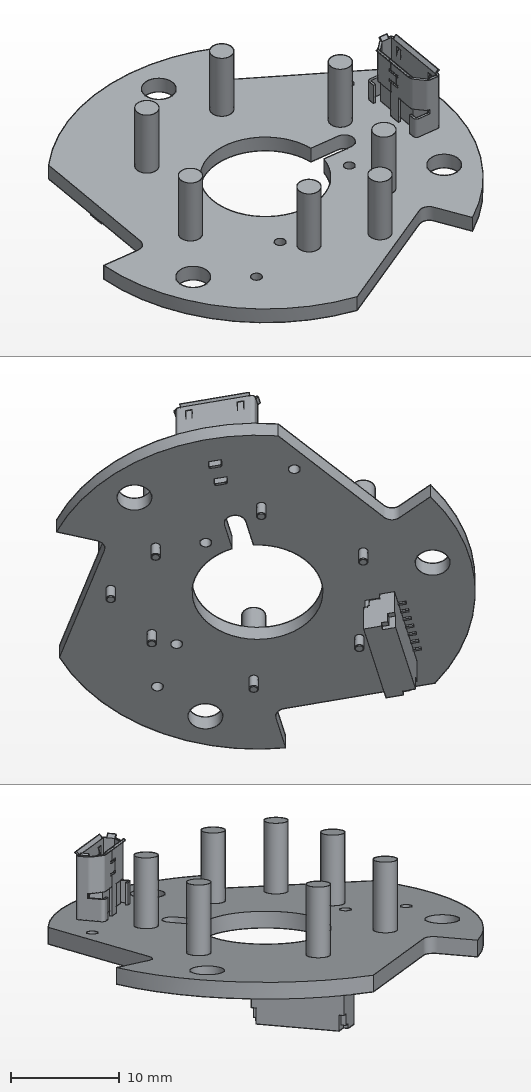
import cadquery as cq
import math


overall_length = 39.9
board_thickness = 1.6
notch_side = 2.0
notch_depth = 15.0
notch_fillet = 1.0
board_radius = (overall_length**2 + notch_side**2) / (2 * overall_length)
notch_count = 3

bore_diameter = 12.0
key_slot_width = 2.0
key_slot_reach = 10.0

screw_hole_diameter = 3.2
screw_hole_radius = 16.5
screw_hole_angles = [60, 180, 300]

wire_hole_diameter = 1.08
wire_hole_points = [(-6.85, 14.5), (3.2, 7.22), (8.75, -4.75), (11.7, -9.6)]

pin_diameter = 2.25
pin_height = 6.7
tail_diameter = 0.88
tail_below_board = 1.45
tail_chamfer = 0.08
ring_pin_radius = 11.0
ring_pin_angles = [45, 105, 165, 225, 285, 345]
outer_pin_radius = 13.5
outer_pin_angle = 15

header_width = 2.9
header_length = 9.0
header_height = 4.25
header_x = -10.8
header_y = -7.3
end_recess = 0.48
key_recess_outer = (0.65, 2.75)
key_recess_inner = (1.25, 3.83)
seat_recess_wide = (1.5, 0.6)
seat_recess_narrow = (0.5, 1.2)
seat_ledge = 0.2

lead_count = 7
lead_pitch = 1.0
lead_width = 0.2
lead_thickness = 0.2
lead_reach = 0.75

socket_half_width = 3.75
socket_back = 17.2
socket_front = 14.7
shell_base = 0.25
base_bottom = 0.45
socket_top = 6.25
sheet = 0.25
shell_fillet = 0.35
bevel_fillet = 0.45
bevel_width = 1.1
bevel_depth = 1.08
base_top = 2.8

wing_front = 14.35
wing_tip = 2.8
wing_back = 16.0
wing_top = 2.35

lip_reach = 0.25
lip_height = 0.35
lip_tip = 0.15
back_lip_length = 6.55
front_lip_length = 5.03
side_lip_length = 0.8
side_lip_y = 16.28

leg_width = 1.2
leg_below_board = 0.68
leg_chamfer = 0.1

seam_gap = 0.05
seam_lock_x = 0.28
seam_lock_bottom = 4.0
seam_lock_top = 5.15
lock_slit_height = 0.2
lock_slit_left = -0.88
lock_slit_right = 0.45

spring_x = 2.45
spring_width = 0.6
spring_bottom = 4.6
spring_bend = 5.43
spring_top = 5.7
spring_reach = 0.2

contact_count = 5
contact_pitch = 0.65
contact_width = 0.25
contact_front = 16.3
contact_back = 17.3


def polar(radius, angle):
    """Point on the board at a radius and an angle in degrees."""
    return (radius * math.cos(math.radians(angle)), radius * math.sin(math.radians(angle)))


def block(x_range, y_range, z_range):
    """Box between two limits along each axis."""
    size = [high - low for low, high in (x_range, y_range, z_range)]
    corner = (x_range[0], y_range[0], z_range[0])
    return cq.Workplane("XY").box(*size, centered=False).translate(corner)


def mirrored_pair(body, plane):
    """A body together with its mirror image."""
    return body.union(body.mirror(plane))


pin_points = [polar(ring_pin_radius, angle) for angle in ring_pin_angles]
pin_points.append(polar(outer_pin_radius, outer_pin_angle))


def make_board():
    board = cq.Workplane("XY").circle(board_radius).extrude(-board_thickness)

    notch = block(
        (-board_radius, notch_side), (-2 * board_radius, -notch_depth), (-board_thickness, 0)
    ).edges("|Z and >X and >Y").fillet(notch_fillet)
    for index in range(notch_count):
        board = board.cut(notch.rotate((0, 0, 0), (0, 0, 1), index * 360 / notch_count))

    bore = cq.Workplane("XY").circle(bore_diameter / 2).extrude(-board_thickness)
    slot_end = key_slot_reach - key_slot_width / 2
    slot = block((-key_slot_width / 2, key_slot_width / 2), (0, slot_end), (-board_thickness, 0))
    slot_round = (
        cq.Workplane("XY").center(0, slot_end).circle(key_slot_width / 2).extrude(-board_thickness)
    )
    board = board.cut(bore).cut(slot).cut(slot_round)

    screw_points = [polar(screw_hole_radius, angle) for angle in screw_hole_angles]
    for diameter, points in (
        (screw_hole_diameter, screw_points),
        (wire_hole_diameter, wire_hole_points),
        (tail_diameter, pin_points),
    ):
        holes = cq.Workplane("XY").pushPoints(points).circle(diameter / 2).extrude(-board_thickness)
        board = board.cut(holes)
    return board


def make_pin(point):
    post = cq.Workplane("XY").circle(pin_diameter / 2).extrude(pin_height)
    tail = cq.Workplane("XY").circle(tail_diameter / 2).extrude(-board_thickness - tail_below_board)
    tail = tail.faces("<Z").chamfer(tail_chamfer)
    return post.union(tail).translate((*point, 0))


def make_header():
    left = header_x - header_width / 2
    right = header_x + header_width / 2
    near = header_y - header_length / 2
    seat = -board_thickness
    bottom = seat - header_height
    header = block((left, right), (near, near + header_length), (bottom, seat))

    key_steps = [
        (left, bottom),
        (left, seat - key_recess_outer[1]),
        (left + key_recess_outer[0], seat - key_recess_outer[1]),
        (left + key_recess_outer[0], seat - key_recess_inner[1]),
        (left + key_recess_inner[0], seat - key_recess_inner[1]),
        (left + key_recess_inner[0], bottom),
    ]
    seat_wide_left = right - seat_recess_wide[0]
    seat_wide_floor = seat - seat_recess_wide[1]
    seat_narrow_left = right - seat_recess_narrow[0]
    seat_narrow_floor = seat - seat_recess_narrow[1]
    seat_steps = [
        (right, seat),
        (seat_wide_left, seat),
        (seat_wide_left, seat_wide_floor),
        (seat_narrow_left, seat_wide_floor),
        (seat_narrow_left, seat_narrow_floor),
        (right, seat_narrow_floor),
    ]
    ledge_floor = seat_narrow_floor - seat_ledge
    ledge_steps = [
        (seat_narrow_left, seat_narrow_floor),
        (seat_narrow_left + seat_ledge, ledge_floor),
        (right, ledge_floor),
        (right, seat_narrow_floor),
    ]
    for outline, depth in (
        (key_steps, end_recess), (seat_steps, end_recess), (ledge_steps, seat_ledge)
    ):
        near_recess = cq.Workplane("XZ", origin=(0, near, 0)).polyline(outline).close().extrude(-depth)
        far_recess = near_recess.translate((0, header_length - depth, 0))
        header = header.cut(near_recess).cut(far_recess)

    for index in range(lead_count):
        y = header_y + (index - (lead_count - 1) / 2) * lead_pitch
        header = header.union(block(
            (left - lead_reach, left + lead_reach),
            (y - lead_width / 2, y + lead_width / 2),
            (seat - lead_thickness, seat),
        ))
    return header


def socket_outline():
    """Outer outline of the shell: rounded at the back, bevelled at the front corners."""
    return (
        cq.Workplane("XY")
        .moveTo(-socket_half_width, socket_back)
        .lineTo(socket_half_width, socket_back)
        .lineTo(socket_half_width, socket_front + bevel_depth)
        .lineTo(socket_half_width - bevel_width, socket_front)
        .lineTo(-socket_half_width + bevel_width, socket_front)
        .lineTo(-socket_half_width, socket_front + bevel_depth)
        .close()
    )


def make_lip(length, x, y, turn):
    """Flared lip on the shell's top edge; it leans towards -Y before it is turned about Z."""
    lip = (
        cq.Workplane("YZ", origin=(-length / 2, 0, 0))
        .moveTo(0, socket_top)
        .lineTo(-lip_reach, socket_top + lip_height - lip_tip)
        .lineTo(lip_tip - lip_reach, socket_top + lip_height)
        .lineTo(sheet, socket_top)
        .close()
        .extrude(length)
    )
    return lip.rotate((0, 0, 0), (0, 0, 1), turn).translate((x, y, 0))


def make_shell():
    height = socket_top - shell_base
    outer = socket_outline().extrude(height)
    outer = outer.edges("|Z and (not >Y)").fillet(bevel_fillet)
    outer = outer.edges("|Z and >Y").fillet(shell_fillet)
    inner = socket_outline().offset2D(-sheet, "intersection").extrude(height)
    shell = outer.cut(inner).translate((0, 0, shell_base))

    shell = shell.cut(block(
        (-socket_half_width, socket_half_width), (socket_front, wing_back), (shell_base, base_top)
    ))

    wing_box = block(
        (-socket_half_width, socket_half_width), (wing_front, wing_back), (shell_base, wing_top)
    ).edges("|Z and <Y").fillet(shell_fillet)
    wing_inside = block(
        (-socket_half_width + sheet, socket_half_width - sheet),
        (wing_front + sheet, wing_back), (shell_base, wing_top),
    )
    wing_opening = block((-wing_tip, wing_tip), (wing_front, wing_back), (shell_base, wing_top))
    shell = shell.union(wing_box.cut(wing_inside).cut(wing_opening))

    shell = shell.union(make_lip(front_lip_length, 0, socket_front, 0))
    shell = shell.union(make_lip(back_lip_length, 0, socket_back, 180))
    shell = shell.union(make_lip(side_lip_length, socket_half_width, side_lip_y, 90))
    shell = shell.union(make_lip(side_lip_length, -socket_half_width, side_lip_y, -90))
    return shell


def make_legs():
    """Two legs, front and back, that pass through the board."""
    bottom = -board_thickness - leg_below_board
    legs = None
    for y in (socket_front, socket_back - sheet):
        leg = block((-leg_width / 2, leg_width / 2), (y, y + sheet), (bottom, base_top))
        leg = leg.faces("<Z").edges("|Y").chamfer(leg_chamfer)
        legs = leg if legs is None else legs.union(leg)
    return legs


def make_seam():
    """Narrow gap in the front wall, stepping round an interlocking tongue."""
    wall = (socket_front - lip_reach, socket_front + sheet)
    edge = (-leg_width / 2, -leg_width / 2 + seam_gap)
    seam = block(edge, wall, (base_top, seam_lock_bottom))
    seam = seam.union(block(edge, wall, (seam_lock_top, socket_top + lip_height)))
    seam = seam.union(
        block((seam_lock_x - seam_gap, seam_lock_x), wall, (seam_lock_bottom, seam_lock_top))
    )
    for z in (seam_lock_bottom, seam_lock_top):
        slit_z = (z - lock_slit_height / 2, z + lock_slit_height / 2)
        seam = seam.union(block((lock_slit_left, lock_slit_right), wall, slit_z))
    return seam


def make_spring():
    """Spring finger in the back wall, bent outwards near its free end."""
    inside = socket_back - sheet
    return (
        cq.Workplane("YZ", origin=(spring_x - spring_width / 2, 0, 0))
        .moveTo(inside, spring_bottom)
        .lineTo(socket_back, spring_bottom)
        .lineTo(socket_back + spring_reach, spring_bend)
        .lineTo(socket_back, spring_top)
        .lineTo(inside, spring_top)
        .lineTo(socket_back + spring_reach - sheet, spring_bend)
        .close()
        .extrude(spring_width)
    )


def make_socket():
    base = (
        socket_outline().offset2D(-sheet, "intersection")
        .extrude(base_top - base_bottom).translate((0, 0, base_bottom))
    )
    spring_window = block(
        (spring_x - spring_width / 2, spring_x + spring_width / 2),
        (socket_back - sheet, socket_back), (spring_bottom, spring_top),
    )
    shell = make_shell().cut(make_seam()).cut(mirrored_pair(spring_window, "YZ"))
    socket = shell.union(mirrored_pair(make_spring(), "YZ")).union(base).union(make_legs())

    for index in range(contact_count):
        x = (index - (contact_count - 1) / 2) * contact_pitch
        socket = socket.union(block(
            (x - contact_width / 2, x + contact_width / 2),
            (contact_front, contact_back), (0, base_bottom),
        ))
    return socket


board_with_socket = make_board().union(make_socket())
header = make_header()
pins = [make_pin(point) for point in pin_points]

result = cq.Compound.makeCompound(
    [board_with_socket.val(), header.val(), *[pin.val() for pin in pins]]
)